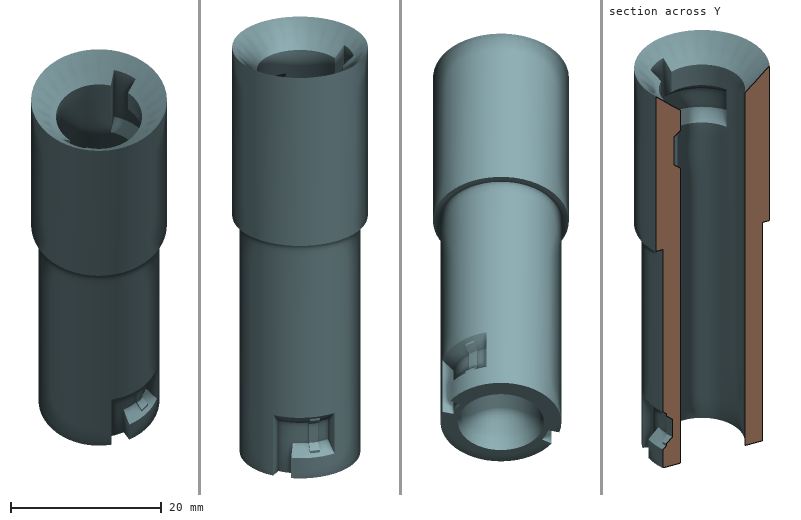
import cadquery as cq
import math

length = 60.0
bore_radius = 11.4 / 2
shank_radius = 16.0 / 2
sleeve_radius = 18.0 / 2
sleeve_length = 24.95
funnel_depth = sleeve_radius - bore_radius
funnel_bottom = length - funnel_depth

flank_angle = 45.0
track_depth = 1.5
floor_half_height = 1.5
overshoot = 0.6
copies = 2

outer_floor_radius = shank_radius - track_depth
outer_track_height = 6.0
outer_entry_start = 164.0
outer_entry_end = 182.0
outer_track_end = 225.0

rib_thickness = 0.25
rib_outer_radius = 7.55
rib_start = 200.4
rib_end = 211.0

inner_floor_radius = bore_radius + track_depth
inner_track_height = 50.4
inner_entry_start = 109.5
inner_entry_end = 136.0
inner_track_start = 29.4


def sector(profile, start, end):
    """Sweep a closed (radius, height) profile about Z between two angles, counterclockwise from above."""
    swept = cq.Workplane("XZ").polyline(profile).close().revolve(end - start, (0, 0), (0, 1))
    return swept.rotate((0, 0, 0), (0, 0, 1), start)


def ring_sector(inner, outer, bottom, top, start, end):
    profile = [(inner, bottom), (outer, bottom), (outer, top), (inner, top)]
    return sector(profile, start, end)


def track_sector(floor_radius, open_radius, height, start, end, half_height=floor_half_height):
    """Trapezoidal track, widening from its floor to its open side."""
    open_half_height = half_height + abs(open_radius - floor_radius) * math.tan(math.radians(flank_angle))
    profile = [
        (floor_radius, height - half_height),
        (open_radius, height - open_half_height),
        (open_radius, height + open_half_height),
        (floor_radius, height + half_height),
    ]
    return sector(profile, start, end)


def detent_rib():
    """Thin liner on the floor and both flanks of the outer track."""
    liner = track_sector(outer_floor_radius, rib_outer_radius, outer_track_height, rib_start, rib_end)
    corner_shift = rib_thickness * math.tan(math.radians(flank_angle / 2))
    opening = track_sector(
        outer_floor_radius + rib_thickness,
        rib_outer_radius + overshoot,
        outer_track_height,
        rib_start,
        rib_end,
        floor_half_height - corner_shift,
    )
    return liner.cut(opening)


def outer_track():
    open_radius = shank_radius + overshoot
    track = track_sector(
        outer_floor_radius, open_radius, outer_track_height, outer_entry_start, outer_track_end
    )
    entry = ring_sector(
        outer_floor_radius, open_radius, -overshoot, outer_track_height, outer_entry_start, outer_entry_end
    )
    return track.union(entry).cut(detent_rib())


def inner_track():
    open_radius = bore_radius - overshoot
    track = track_sector(
        inner_floor_radius, open_radius, inner_track_height, inner_track_start, inner_entry_end
    )
    entry = ring_sector(
        open_radius, inner_floor_radius, inner_track_height, length, inner_entry_start, inner_entry_end
    )
    return track.union(entry)


body_profile = [
    (bore_radius, 0),
    (shank_radius, 0),
    (shank_radius, length - sleeve_length),
    (sleeve_radius, length - sleeve_length),
    (sleeve_radius, length),
    (bore_radius, funnel_bottom),
]
result = sector(body_profile, 0, 360)

for track in (outer_track(), inner_track()):
    for index in range(copies):
        result = result.cut(track.rotate((0, 0, 0), (0, 0, 1), index * 360 / copies))